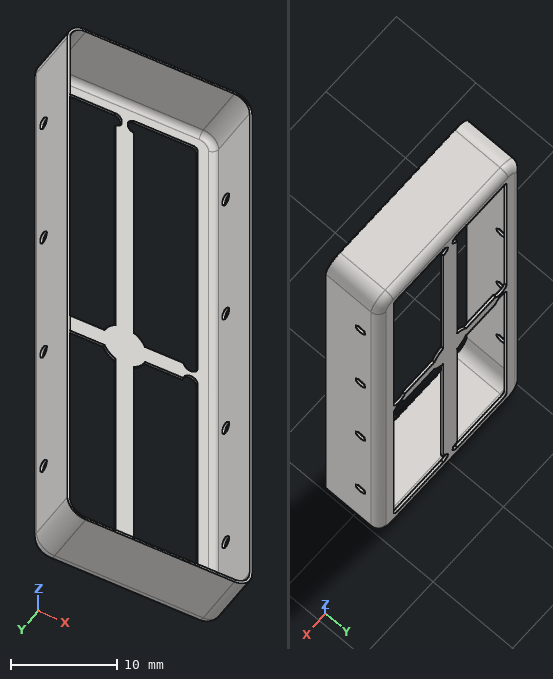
import cadquery as cq

width = 20.3
depth = 6.7
height = 64.3
wall = 0.3
corner_radius = 2.0
back_fillet = corner_radius / 2

window_width = 16.0
window_height = 60.0
window_corner_radius = 0.5
rib_width = 2.0
hub_radius = 2.45
neck_width = 0.65
neck_notch_radius = 0.8

side_hole_diameter = 1.2
side_hole_pitch = 15.0
side_hole_count = 4
side_hole_from_back = 2.3

back_y = depth / 2


def rounded_tray_block(inset, front_y):
    """Rounded block inset from the outer faces, from front_y to the inset back face."""
    length = back_y - inset - front_y
    return (
        cq.Workplane("XZ", origin=(0, front_y, 0))
        .rect(width - 2 * inset, height - 2 * inset)
        .extrude(-length)
        .edges("|Y")
        .fillet(corner_radius - inset)
        .faces(">Y")
        .edges()
        .fillet(back_fillet - inset)
    )


def floor_sketch():
    """Start a profile on the inner face of the floor; a negative extrusion goes toward +Y."""
    return cq.Workplane("XZ", origin=(0, back_y - wall, 0))


def neck_notches():
    """Round notches, in pairs, that thin each rib where it meets the rim."""
    along_x = window_width / 2 - neck_notch_radius
    along_z = window_height / 2 - neck_notch_radius
    offset = neck_width / 2 + neck_notch_radius
    centres = []
    for side in (-1, 1):
        for across in (-offset, offset):
            centres.append((side * along_x, across))
            centres.append((across, side * along_z))
    return floor_sketch().pushPoints(centres).circle(neck_notch_radius).extrude(-wall)


def floor_cross():
    """Two crossing ribs with a round hub, necked at the four ends."""
    cross = floor_sketch().rect(rib_width, window_height).extrude(-wall)
    cross = cross.union(floor_sketch().rect(window_width, rib_width).extrude(-wall))
    cross = cross.union(floor_sketch().circle(hub_radius).extrude(-wall))
    return cross.cut(neck_notches())


def floor_openings():
    """The four openings left between the rim and the cross."""
    window = (
        floor_sketch()
        .rect(window_width, window_height)
        .extrude(-wall)
        .edges("|Y")
        .fillet(window_corner_radius)
    )
    return window.cut(floor_cross())


def side_holes():
    """Row of holes along Z, running through both long side walls."""
    return (
        cq.Workplane("YZ", origin=(-width / 2, back_y - side_hole_from_back, 0))
        .rarray(0.65, side_hole_pitch, 1, side_hole_count)
        .circle(side_hole_diameter / 2)
        .extrude(width)
    )


tray = rounded_tray_block(0, -back_y).cut(rounded_tray_block(wall, -back_y))
result = tray.cut(floor_openings()).cut(side_holes())